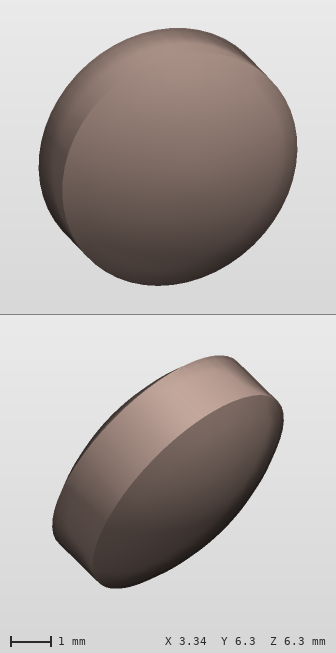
import cadquery as cq
import math

diameter = 6.3
centre_thickness = 3.34
edge_thickness = 1.51

rim_radius = diameter / 2
half_centre = centre_thickness / 2
half_edge = edge_thickness / 2

cap_height = half_centre - half_edge
sphere_radius = (rim_radius**2 + cap_height**2) / (2 * cap_height)
sphere_centre_x = sphere_radius - half_centre

half_cap_angle = math.asin(rim_radius / sphere_radius) / 2
arc_mid_x = sphere_radius * math.cos(half_cap_angle) - sphere_centre_x
arc_mid_z = sphere_radius * math.sin(half_cap_angle)


def make_lens():
    """Revolve the half section about the X axis."""
    half_section = (
        cq.Workplane("XZ")
        .moveTo(-half_centre, 0)
        .threePointArc((-arc_mid_x, arc_mid_z), (-half_edge, rim_radius))
        .lineTo(half_edge, rim_radius)
        .threePointArc((arc_mid_x, arc_mid_z), (half_centre, 0))
        .close()
    )
    return half_section.revolve(360, (0, 0), (1, 0))


result = make_lens()